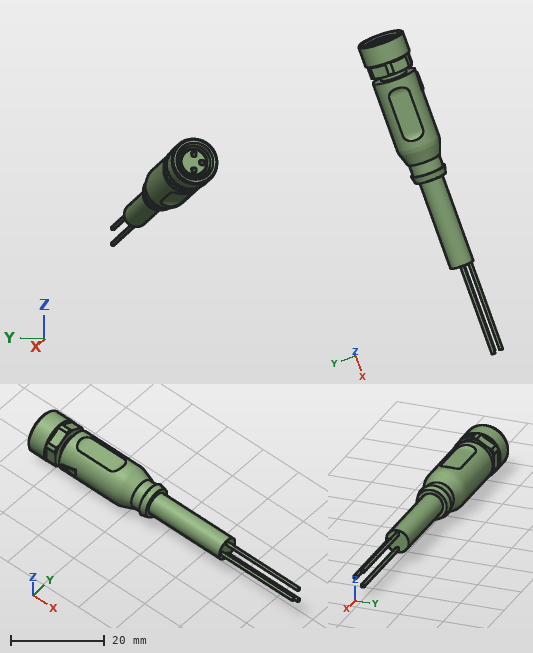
import cadquery as cq
import math

overall_length = 72.1

nut_radius = 10.0 / 2
nut_chamfer = 0.3
ring_end = 4.9
hex_sides = 6
hex_across_flats = 9.1
hex_corner_radius = 9.9 / 2
hex_end = 7.4
hex_chamfer = 0.2

socket_mouth_radius = 4.05
socket_radius = 3.5
socket_depth = ring_end
insert_radius = 2.95
insert_chamfer = 0.2
insert_recess = 0.8
contact_radius = 0.6
contact_depth = 3.6

neck_radius = 2.9
body_start = 8.65
body_radius = 4.75
taper_start = 24.6
taper_blend_radius = 3.25
taper_end = 27.8
taper_end_radius = 3.7
taper_edge_fillet = 0.2
relief_radius = 6.85 / 2
flange_start = 30.4
flange_radius = 3.8
flange_end = 32.0
flange_end_radius = 3.45

flat_start = 12.25
flat_end = 20.8
flat_height = 4.2
flat_end_arc_radius = 2.75

arrow_tip = 9.45
arrow_base = 13.35
arrow_half_width = 1.0
arrow_height = nut_radius

cable_radius = 2.6
cable_end = 51.9
wire_radius = 0.4
contact_offset = 1.7
contact_positions = [(0, contact_offset), (0, -contact_offset), (-contact_offset, 0)]


def cylinder(start, end, radius, y=0, z=0):
    """Round bar along X between two stations."""
    direction = cq.Vector(1, 0, 0)
    return cq.Workplane(cq.Solid.makeCylinder(radius, end - start, cq.Vector(start, y, z), direction))


def make_nut():
    """Ring and hexagon with its corners turned round; two hexagon flats face +Y and -Y."""
    ring = cylinder(0, ring_end, nut_radius).edges("%CIRCLE").chamfer(nut_chamfer)

    half_side_angle = 180 / hex_sides
    hex_across_corners = hex_across_flats / math.cos(math.radians(half_side_angle))
    hexagon = (
        cq.Workplane("YZ")
        .polygon(hex_sides, hex_across_corners)
        .extrude(hex_end)
        .rotate((0, 0, 0), (1, 0, 0), half_side_angle)
    )
    corner_limit = cylinder(0, hex_end, hex_corner_radius).faces(">X").edges().chamfer(hex_chamfer)
    grip_start = ring_end - nut_chamfer
    grip = hexagon.intersect(corner_limit).intersect(cylinder(grip_start, hex_end, nut_radius))
    return ring.union(grip)


def make_socket():
    """Empty space in the nut: a bore with a 45 degree lead-in."""
    lead_in = socket_mouth_radius - socket_radius
    return (
        cq.Workplane("XY")
        .polyline([
            (0, 0),
            (0, socket_mouth_radius),
            (lead_in, socket_radius),
            (socket_depth, socket_radius),
            (socket_depth, 0),
        ])
        .close()
        .revolve(360, (0, 0, 0), (1, 0, 0))
    )


def make_insert():
    """Chamfered round insert with three blind contact holes."""
    insert = cylinder(insert_recess, ring_end, insert_radius)
    insert = insert.faces("<X").edges().chamfer(insert_chamfer)
    for y, z in contact_positions:
        insert = insert.cut(cylinder(insert_recess, insert_recess + contact_depth, contact_radius, y, z))
    return insert


def make_body():
    """Grip body, taper, strain relief and cable in one piece, round about X."""
    barrel = (
        cq.Workplane("XY")
        .polyline([
            (body_start, 0),
            (body_start, body_radius),
            (taper_start, body_radius),
            (taper_end, taper_end_radius),
            (taper_end, 0),
        ])
        .close()
        .revolve(360, (0, 0, 0), (1, 0, 0))
    )
    barrel = barrel.edges("%CIRCLE").edges(">>X[1]").fillet(taper_blend_radius)
    barrel = barrel.faces(">X").edges().fillet(taper_edge_fillet)
    flange = (
        cq.Workplane("XY")
        .polyline([
            (flange_start, 0),
            (flange_start, flange_radius),
            (flange_end, flange_end_radius),
            (flange_end, 0),
        ])
        .close()
        .revolve(360, (0, 0, 0), (1, 0, 0))
    )
    neck = cylinder(ring_end, body_start, neck_radius)
    relief = cylinder(taper_end, flange_start, relief_radius)
    cable = cylinder(flange_end, cable_end, cable_radius)
    return barrel.union(flange).union(neck).union(relief).union(cable)


def make_finger_flat():
    """Space above the upper flat, which curves upward at both ends."""
    radius = flat_end_arc_radius
    middle_run = radius * math.sin(math.radians(45))
    middle_z = flat_height + radius - middle_run
    top_z = flat_height + radius
    return (
        cq.Workplane("XZ")
        .moveTo(flat_start, flat_height)
        .lineTo(flat_end, flat_height)
        .threePointArc((flat_end + middle_run, middle_z), (flat_end + radius, top_z))
        .lineTo(flat_start - radius, top_z)
        .threePointArc((flat_start - middle_run, middle_z), (flat_start, flat_height))
        .close()
        .extrude(body_radius, both=True)
    )


def make_arrow():
    """Triangular block from the axis out to the arrow's raised face, pointing at the nut."""
    return (
        cq.Workplane("XZ")
        .polyline([(arrow_tip, 0), (arrow_base, arrow_half_width), (arrow_base, -arrow_half_width)])
        .close()
        .extrude(arrow_height)
    )


finger_flat = make_finger_flat()
body = make_body().cut(finger_flat).cut(finger_flat.mirror("XY"))

result = make_nut().cut(make_socket()).union(make_insert()).union(body).union(make_arrow())
for wire_y, wire_z in contact_positions:
    result = result.union(cylinder(cable_end, overall_length, wire_radius, wire_y, wire_z))